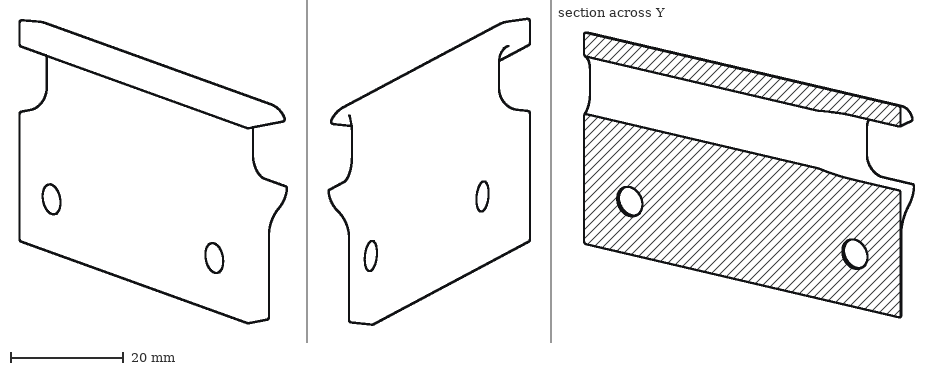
import cadquery as cq
import math

length = 69.0
depth = 9.0
height = 40.85
edge_radius = 0.5

plate_thickness = 5.0
groove_depth = 6.0
groove_bottom = 24.0
groove_top = 35.95
groove_radius = 3.45
hook_radius = 6.0
hook_slope = math.radians(13)
neck_outer_radius = 5.0
neck_inner_radius = 6.0
neck_top = groove_bottom

ramp_start = 50.9
ramp_slope = math.radians(14.5)
bend_radius = 3.45
opening_start = 58.7

hole_diameter = 5.4
hole_inset = 10.0
hole_height = 10.0

overcut = 6.9


def polar(center, radius, angle):
    """Point at an angle on a circle in the YZ plane."""
    return (center[0] + radius * math.cos(angle), center[1] + radius * math.sin(angle))


def make_body():
    """Plate, S-shaped neck and sloping hook extruded along X, without the groove."""
    crest_drop = edge_radius * (math.tan(hook_slope) + 1 / math.cos(hook_slope) - 1)
    crest = height + crest_drop
    hook_y = depth - hook_radius
    slope_end_y = hook_y + hook_radius * math.sin(hook_slope)
    slope_end_z = crest - slope_end_y * math.tan(hook_slope)
    hook_center = (hook_y, slope_end_z - hook_radius * math.cos(hook_slope))

    neck_angle = math.acos(1 - (depth - plate_thickness) / (neck_outer_radius + neck_inner_radius))
    neck_drop = (neck_outer_radius + neck_inner_radius) * math.sin(neck_angle)
    outer_center = (depth - neck_outer_radius, neck_top)
    inner_center = (plate_thickness + neck_inner_radius, neck_top - neck_drop)

    return (
        cq.Workplane("YZ")
        .lineTo(plate_thickness, 0)
        .lineTo(plate_thickness, inner_center[1])
        .threePointArc(
            polar(inner_center, neck_inner_radius, math.pi - neck_angle / 2),
            polar(inner_center, neck_inner_radius, math.pi - neck_angle),
        )
        .threePointArc(
            polar(outer_center, neck_outer_radius, -neck_angle / 2),
            (depth, neck_top),
        )
        .lineTo(depth, hook_center[1])
        .threePointArc(
            polar(hook_center, hook_radius, (math.pi / 2 - hook_slope) / 2),
            (slope_end_y, slope_end_z),
        )
        .lineTo(0, crest)
        .close()
        .extrude(length)
    )


def make_groove():
    """Round-cornered groove whose floor bends towards the back at the right end."""
    groove_height = groove_top - groove_bottom
    end_x = length + overcut
    end_y = groove_depth + (end_x - ramp_start) * math.tan(ramp_slope)
    groove = (
        cq.Workplane("XY", origin=(0, 0, groove_bottom))
        .moveTo(-overcut, -overcut)
        .lineTo(end_x, -overcut)
        .lineTo(end_x, end_y)
        .lineTo(ramp_start, groove_depth)
        .lineTo(-overcut, groove_depth)
        .close()
        .extrude(groove_height)
    )
    margin = 0.7
    bend = cq.selectors.BoxSelector(
        (ramp_start - margin, groove_depth - margin, groove_bottom),
        (ramp_start + margin, groove_depth + margin, groove_top),
    )
    groove = groove.edges(bend).fillet(bend_radius)
    floor_edges = cq.selectors.BoxSelector(
        (-overcut, groove_depth - margin, groove_bottom - margin),
        (end_x - margin, end_y, groove_top + margin),
    )
    return groove.edges("#Z").edges(floor_edges).fillet(groove_radius)


def make_opening():
    """Round-cornered opening through the back wall, running out of the right end."""
    opening_length = length + overcut - opening_start
    opening_height = groove_top - groove_bottom
    return (
        cq.Workplane("XY")
        .box(opening_length, depth + 2 * overcut, opening_height, centered=False)
        .edges("|Y and <X")
        .fillet(groove_radius)
        .translate((opening_start, -overcut, groove_bottom))
    )


def make_holes():
    """Two through holes in the plate."""
    return (
        cq.Workplane("XZ")
        .pushPoints([(hole_inset, hole_height), (length - hole_inset, hole_height)])
        .circle(hole_diameter / 2)
        .extrude(-depth)
    )


def round_edges(body):
    """Round the rims of the ends, front and bottom, and both rims of the back opening."""
    tolerance = 0.1
    rim_box = cq.selectors.BoxSelector(
        (opening_start - tolerance, groove_depth, groove_bottom - tolerance),
        (length - edge_radius, depth + tolerance, groove_top + tolerance),
    )
    rims = body.edges(rim_box).edges("not |Y")
    outer_edges = body.faces("<X or >X or <Y or <Z").edges()
    return outer_edges.add(rims).fillet(edge_radius)


body = make_body().cut(make_groove()).cut(make_opening())
result = round_edges(body).cut(make_holes())